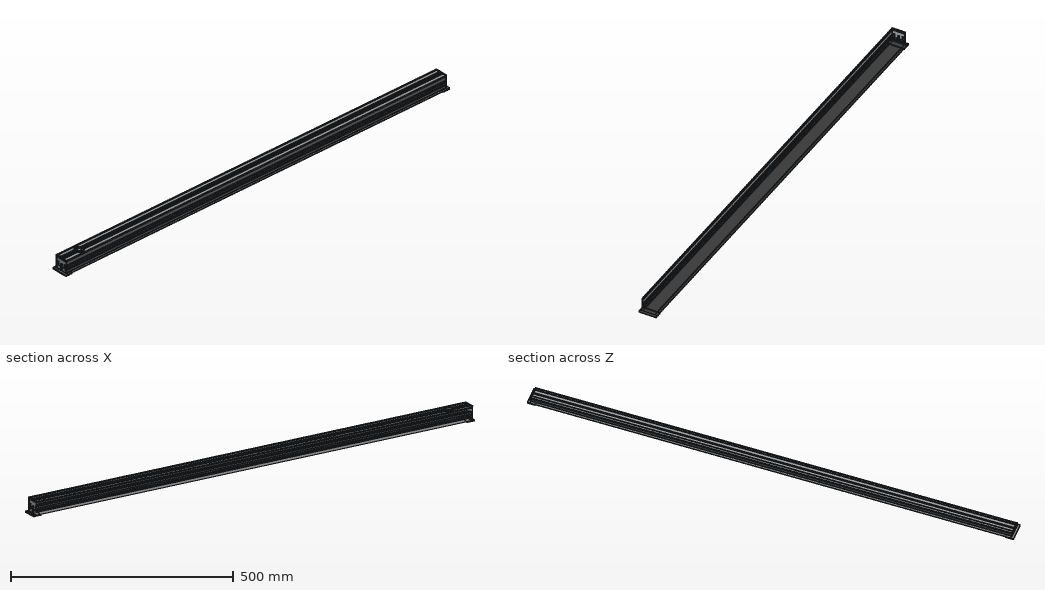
import cadquery as cq

TOTAL_LENGTH = 1166.4
TOTAL_HEIGHT = 37.4
FLANGE_WIDTH = 44.0
BODY_WIDTH = 34.0

TOP_Z = TOTAL_HEIGHT / 2
CAP_FOOT_THICKNESS = 2.0
BASE_Z = -TOP_Z + CAP_FOOT_THICKNESS
FLANGE_THICKNESS = 1.2
FLANGE_TOP_Z = BASE_Z + FLANGE_THICKNESS

FLANGE_OVERHANG = (FLANGE_WIDTH - BODY_WIDTH) / 2
CAP_FACE_Y = TOTAL_LENGTH / 2 - FLANGE_OVERHANG
CAP_PLATE_THICKNESS = 1.5
PROFILE_END_Y = CAP_FACE_Y - CAP_PLATE_THICKNESS
PROFILE_LENGTH = 2 * PROFILE_END_Y
CAP_FOOT_LENGTH = 19.0

WALL = 1.6
INNER_WIDTH = BODY_WIDTH - 2 * WALL
RIM_HEIGHT = 1.8
ROOF_TOP_Z = TOP_Z - RIM_HEIGHT
ROOF_THICKNESS = 3.5
ROOF_BOTTOM_Z = ROOF_TOP_Z - ROOF_THICKNESS
FOOT_FILLET = 0.8

RAIL_WIDTH = 11.7
RAIL_HEIGHT = 0.9
RAIL_TOP_Z = ROOF_TOP_Z + RAIL_HEIGHT
SLOT_WIDTH = 5.0
SLOT_CHAMBER_WIDTH = 8.6
SLOT_LIP_THICKNESS = 1.4
SLOT_CHAMBER_HEIGHT = 1.8

SHELF_TOP_Z = -5.0
SHELF_THICKNESS = 1.4
SHELF_BOTTOM_Z = SHELF_TOP_Z - SHELF_THICKNESS
DUCT_INNER_X = 9.0
DUCT_WALL = 1.8
DUCT_TOP_Z = 4.6
DUCT_RIB_THICKNESS = 1.2
DUCT_RIB_TOPS = (DUCT_TOP_Z, 0.0)
HOOK_INNER_X = 12.5
HOOK_TOP_Z = -8.2
HOOK_THICKNESS = 1.2

COVER_THICKNESS = 1.5

SCREW_HEIGHTS = (0.0, -10.5)
SCREW_SHANK_DIAMETER = 3.5
SCREW_HEAD_DIAMETER = 4.5
SCREW_HEAD_HEIGHT = 0.8
SCREW_LENGTH = 12.0
PORT_DIAMETER = 6.0
PORT_STEM_WIDTH = 3.0

TONGUE_WIDTH = 16.0
TONGUE_LENGTH = 2.5

BUSHING_Y = -522.8
BUSHING_FLANGE_DIAMETER = 24.0
BUSHING_BARREL_DIAMETER = 20.0
BUSHING_BORE_DIAMETER = 13.5
BUSHING_FLOOR = 1.6


def block(x0, x1, y0, y1, z0, z1):
    """Box between opposite corners, given in any order along each axis."""
    size = (abs(x1 - x0), abs(y1 - y0), abs(z1 - z0))
    centre = ((x0 + x1) / 2, (y0 + y1) / 2, (z0 + z1) / 2)
    return cq.Workplane("XY").box(*size).translate(centre)


def bar(width, z0, z1):
    """Centred bar running the whole length of the profile."""
    return block(-width / 2, width / 2, -PROFILE_END_Y, PROFILE_END_Y, z0, z1)


def side_bar(side, x0, x1, z0, z1):
    """Bar running the whole length of the profile on one side (-1 or +1)."""
    return block(side * x0, side * x1, -PROFILE_END_Y, PROFILE_END_Y, z0, z1)


def disc(diameter, z0, z1):
    """Vertical cylinder on the bushing axis."""
    return (
        cq.Workplane("XY", origin=(0, BUSHING_Y, z0))
        .circle(diameter / 2)
        .extrude(z1 - z0)
    )


def rod(diameter, z, y0, y1):
    """Cylinder along Y at x = 0."""
    return (
        cq.Workplane("XZ", origin=(0, y0, z))
        .circle(diameter / 2)
        .extrude(y0 - y1)
    )


def make_shell():
    """Outer section: flanges with filleted feet, walls, bevelled rims and roof, open below."""
    half = BODY_WIDTH / 2
    inner = INNER_WIDTH / 2
    right_side = [
        (inner, ROOF_BOTTOM_Z),
        (inner, BASE_Z),
        (FLANGE_WIDTH / 2, BASE_Z),
        (FLANGE_WIDTH / 2, FLANGE_TOP_Z),
        (half, FLANGE_TOP_Z),
        (half, TOP_Z),
        (half - RIM_HEIGHT, ROOF_TOP_Z),
    ]
    left_side = [(-x, z) for x, z in reversed(right_side)]
    shell = (
        cq.Workplane("XZ", origin=(0, PROFILE_END_Y, 0))
        .polyline(right_side + left_side)
        .close()
        .extrude(PROFILE_LENGTH)
    )
    foot_corners = cq.selectors.BoxSelector(
        (-half - FOOT_FILLET, -FOOT_FILLET, FLANGE_TOP_Z - FOOT_FILLET),
        (half + FOOT_FILLET, FOOT_FILLET, FLANGE_TOP_Z + FOOT_FILLET),
    )
    return shell.edges("|Y").edges(foot_corners).fillet(FOOT_FILLET)


def make_profile():
    profile = make_shell()

    chamber_top = RAIL_TOP_Z - SLOT_LIP_THICKNESS
    chamber_bottom = chamber_top - SLOT_CHAMBER_HEIGHT
    profile = profile.union(bar(RAIL_WIDTH, ROOF_BOTTOM_Z, RAIL_TOP_Z))
    profile = profile.cut(bar(SLOT_WIDTH, chamber_bottom, RAIL_TOP_Z))
    profile = profile.cut(bar(SLOT_CHAMBER_WIDTH, chamber_bottom, chamber_top))

    wall_x = BODY_WIDTH / 2 - WALL / 2
    profile = profile.union(bar(2 * wall_x, SHELF_BOTTOM_Z, SHELF_TOP_Z))

    hook_bottom_z = HOOK_TOP_Z - HOOK_THICKNESS
    for side in (-1, 1):
        for z in DUCT_RIB_TOPS:
            profile = profile.union(side_bar(side, DUCT_INNER_X, wall_x, z - DUCT_RIB_THICKNESS, z))
        profile = profile.union(
            side_bar(side, DUCT_INNER_X, DUCT_INNER_X + DUCT_WALL, SHELF_BOTTOM_Z, DUCT_TOP_Z)
        )
        profile = profile.union(side_bar(side, HOOK_INNER_X, wall_x, hook_bottom_z, HOOK_TOP_Z))

    shelf_middle_z = (SHELF_TOP_Z + SHELF_BOTTOM_Z) / 2
    for z in SCREW_HEIGHTS:
        profile = profile.union(bar(PORT_STEM_WIDTH, shelf_middle_z, z))
        profile = profile.union(rod(PORT_DIAMETER, z, -PROFILE_END_Y, PROFILE_END_Y))
    for z in SCREW_HEIGHTS:
        profile = profile.cut(rod(SCREW_SHANK_DIAMETER, z, -PROFILE_END_Y, PROFILE_END_Y))

    profile = profile.cut(disc(BUSHING_FLANGE_DIAMETER, ROOF_TOP_Z, TOP_Z))
    return profile.cut(disc(BUSHING_BARREL_DIAMETER, ROOF_BOTTOM_Z, TOP_Z))


def make_cover():
    """Flat strip closing the underside between the walls."""
    return bar(INNER_WIDTH, BASE_Z, BASE_Z + COVER_THICKNESS)


def make_end_cap(end):
    """Cap on one end (-1 or +1): plate, outer lip, foot under the flange and top tongue."""
    half_body = BODY_WIDTH / 2
    half_flange = FLANGE_WIDTH / 2
    outer_y = TOTAL_LENGTH / 2
    foot_y = outer_y - CAP_FOOT_LENGTH
    tongue_y = PROFILE_END_Y - TONGUE_LENGTH

    cap = block(-half_body, half_body, end * PROFILE_END_Y, end * CAP_FACE_Y, -TOP_Z, TOP_Z)
    cap = cap.union(
        block(-half_flange, half_flange, end * PROFILE_END_Y, end * outer_y, -TOP_Z, FLANGE_TOP_Z)
    )
    cap = cap.union(block(-half_flange, half_flange, end * foot_y, end * outer_y, -TOP_Z, BASE_Z))
    cap = cap.union(
        block(-TONGUE_WIDTH / 2, TONGUE_WIDTH / 2, end * tongue_y, end * CAP_FACE_Y, RAIL_TOP_Z, TOP_Z)
    )
    for z in SCREW_HEIGHTS:
        cap = cap.cut(make_screw(end, z))
    return cap


def make_screw(end, z):
    """Screw with its head flush in the cap and its shank in a port of the profile."""
    face_y = end * CAP_FACE_Y
    shank = rod(SCREW_SHANK_DIAMETER, z, face_y, end * (CAP_FACE_Y - SCREW_LENGTH))
    head = rod(SCREW_HEAD_DIAMETER, z, face_y, end * (CAP_FACE_Y - SCREW_HEAD_HEIGHT))
    return shank.union(head)


def make_bushing():
    """Stepped round bushing with a blind bore, seated in the roof."""
    bushing = disc(BUSHING_BARREL_DIAMETER, ROOF_BOTTOM_Z, TOP_Z)
    bushing = bushing.union(disc(BUSHING_FLANGE_DIAMETER, ROOF_TOP_Z, RAIL_TOP_Z))
    return bushing.cut(disc(BUSHING_BORE_DIAMETER, ROOF_BOTTOM_Z + BUSHING_FLOOR, TOP_Z))


ENDS = (-1, 1)

profile = make_profile()
cover = make_cover()
bushing = make_bushing()
end_caps = [make_end_cap(end) for end in ENDS]
screws = [make_screw(end, z) for end in ENDS for z in SCREW_HEIGHTS]

bodies = [profile, cover, bushing, *end_caps, *screws]
result = cq.Compound.makeCompound([solid for body in bodies for solid in body.solids().vals()])